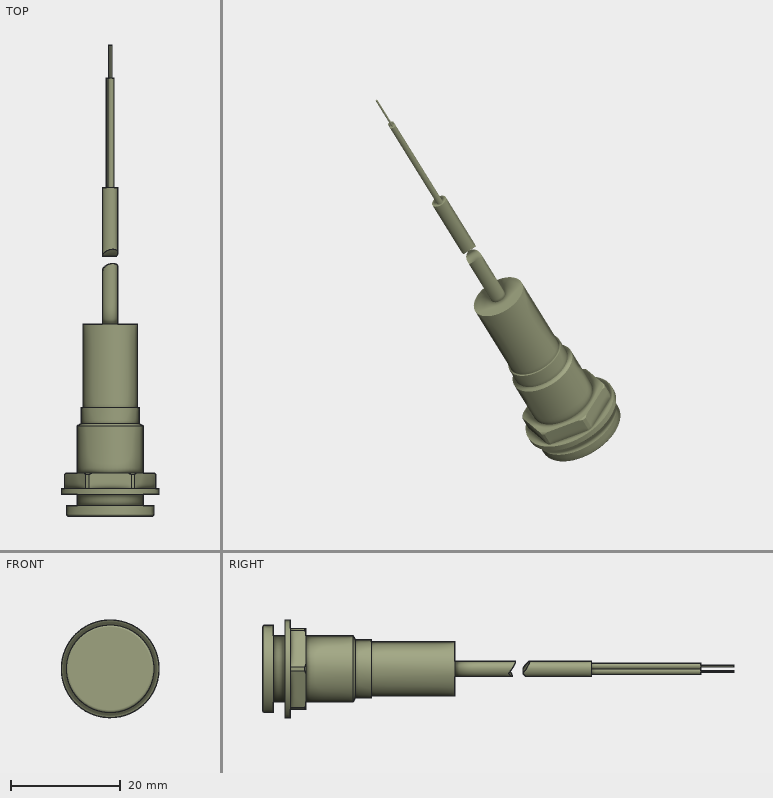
import cadquery as cq
import math


head_dia = 16.0
head_thickness = 2.0
head_edge_radius = 0.4
body_dia = 12.1
body_end = 16.5
shoulder_length = 0.4
collar_dia = 10.7
collar_end = 19.9
rear_dia = 10.0
rear_end = 35.1

washer_dia = 17.9
washer_front = 4.0
washer_thickness = 1.0
nut_across_flats = 14.8
nut_corner_dia = 16.7
nut_thickness = 2.8
nut_chamfer = 0.3
nut_front = washer_front + washer_thickness

cable_dia = 2.8
cable_roll = 20.0
cut_ridge_height = -0.4
cut_slope = 0.7
stub_ridge_y = 44.9
break_gap = 2.6
sheath_end = 60.0
insulation_dia = 1.1
insulation_end = 80.0
conductor_dia = 0.35
conductor_end = 86.0
wire_spacing = 1.0

cable_radius = cable_dia / 2
tail_ridge_y = stub_ridge_y + break_gap


def cylinder(diameter, start, end, height=0.0):
    """Cylinder along Y from start to end, its axis at the given height."""
    plane = cq.Workplane("XZ", origin=(0, start, height))
    return plane.circle(diameter / 2).extrude(start - end)


def roll_about_axis(shape):
    """Turn about Y so that the top moves toward +X."""
    return shape.rotate((0, 0, 0), (0, 1, 0), cable_roll)


def break_region(ridge_y, far_y):
    """Prism from the V-shaped break surface along Y to far_y."""
    half_width = 2 * cable_radius
    top_y = ridge_y + cut_slope * (half_width - cut_ridge_height)
    bottom_y = ridge_y + cut_slope * (half_width + cut_ridge_height)
    outline = [
        (far_y, half_width),
        (top_y, half_width),
        (ridge_y, cut_ridge_height),
        (bottom_y, -half_width),
        (far_y, -half_width),
    ]
    prism = cq.Workplane("YZ").polyline(outline).close().extrude(half_width, both=True)
    return roll_about_axis(prism)


def make_housing():
    """Headed, stepped body with the first length of cable."""
    profile = [
        (0, 0),
        (head_dia / 2, 0),
        (head_dia / 2, head_thickness),
        (body_dia / 2, head_thickness),
        (body_dia / 2, body_end),
        (collar_dia / 2, body_end + shoulder_length),
        (collar_dia / 2, collar_end),
        (rear_dia / 2, collar_end),
        (rear_dia / 2, rear_end),
        (0, rear_end),
    ]
    body = cq.Workplane("XY").polyline(profile).close().revolve(360, (0, 0), (0, 1))
    body = body.faces("<Y").edges().fillet(head_edge_radius)
    stub = cylinder(cable_dia, rear_end, tail_ridge_y)
    stub = stub.intersect(break_region(stub_ridge_y, rear_end))
    return body.union(stub)


def make_washer():
    washer = cylinder(washer_dia, washer_front, nut_front)
    return washer.cut(cylinder(body_dia, washer_front, nut_front))


def make_nut():
    """Hexagon nut with trimmed corners and a chamfered rear rim."""
    nut_rear = nut_front + nut_thickness
    across_corners = nut_across_flats / math.cos(math.radians(30))
    hexagon = cq.Workplane("XZ", origin=(0, nut_front, 0)).polygon(6, across_corners)
    rim = cylinder(nut_corner_dia, nut_front, nut_rear).faces(">Y").chamfer(nut_chamfer)
    nut = hexagon.extrude(-nut_thickness).intersect(rim)
    return nut.cut(cylinder(body_dia, nut_front, nut_rear))


def make_cable_tail():
    """Free length of sheath with two insulated wires and bare ends."""
    tail = cylinder(cable_dia, stub_ridge_y, sheath_end)
    tail = tail.intersect(break_region(tail_ridge_y, sheath_end))
    for height in (-wire_spacing / 2, wire_spacing / 2):
        insulation = cylinder(insulation_dia, sheath_end, insulation_end, height)
        conductor = cylinder(conductor_dia, insulation_end, conductor_end, height)
        tail = tail.union(roll_about_axis(insulation.union(conductor)))
    return tail


housing = make_housing()
washer = make_washer()
nut = make_nut()
cable_tail = make_cable_tail()

result = cq.Compound.makeCompound([
    housing.solids().val(),
    washer.solids().val(),
    nut.solids().val(),
    cable_tail.solids().val(),
])